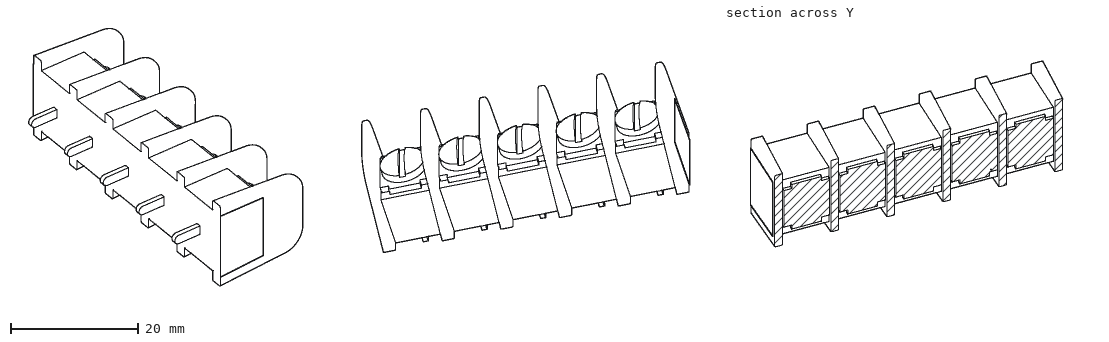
import cadquery as cq
import math

ways = 5
total_length = 49.8
pitch = 9.5
draft_angle = 2
draft_slope = math.tan(math.radians(draft_angle))

body_height = 8.55
body_half_depth = 5.95

barrier_height = 16.7
barrier_width = 2.05
barrier_half_depth = 7.85
barrier_corner_radius = 3.8
barrier_edge_radius = 0.25

plate_width = 7.75
tongue_width = 5.1
tongue_length = 9.45
plate_thickness = 1.05

screw_radius = 3.6
screw_side_height = 1.35
dome_height = 0.7
slot_width = 1.0
slot_depth = 1.05

pin_width = 0.8
pin_depth = 1.65
pin_length = 4.95

plate_top = body_height + plate_thickness
screw_edge = plate_top + screw_side_height
screw_top = screw_edge + dome_height
dome_radius = (screw_radius**2 + dome_height**2) / (2 * dome_height)


def drafted_block(half_x, half_z, height):
    """Block rising along +Y from the base plane, narrowing on all four sides."""
    shrink = height * draft_slope
    return (
        cq.Workplane("XZ")
        .rect(2 * half_x, 2 * half_z)
        .workplane(offset=-height)
        .rect(2 * (half_x - shrink), 2 * (half_z - shrink))
        .loft(ruled=True)
    )


def barrier():
    """Drafted wall with large round upper corners and softened edges."""
    wall = drafted_block(barrier_width / 2, barrier_half_depth, barrier_height)
    wall = wall.faces(">Y").edges("|X").fillet(barrier_corner_radius)
    rim = wall.faces(">X or <X").edges("not <Y")
    return rim.fillet(barrier_edge_radius)


def clamp_plate():
    """Square plate on top of the body, with a narrower tongue reaching past it towards +Z and -Z."""
    seat = cq.Workplane("XZ", origin=(0, body_height, 0))
    square = seat.rect(plate_width, plate_width).extrude(-plate_thickness)
    tongue = seat.rect(tongue_width, tongue_length).extrude(-plate_thickness)
    return square.union(tongue)


def screw():
    """Domed screw head with a slot running along Z."""
    head = (
        cq.Workplane("XY")
        .moveTo(0, plate_top)
        .lineTo(screw_radius, plate_top)
        .lineTo(screw_radius, screw_edge)
        .radiusArc((0, screw_top), -dome_radius)
        .close()
        .revolve(360, (0, 0, 0), (0, 1, 0))
    )
    slot = cq.Workplane("XY").box(slot_width, 2 * slot_depth, 2 * screw_radius)
    return head.cut(slot.translate((0, screw_top, 0)))


def pin():
    """Flat solder pin with a fully rounded tip."""
    half_depth = pin_depth / 2
    return (
        cq.Workplane("YZ")
        .moveTo(0, -half_depth)
        .lineTo(half_depth - pin_length, -half_depth)
        .threePointArc((-pin_length, 0), (half_depth - pin_length, half_depth))
        .lineTo(0, half_depth)
        .close()
        .extrude(pin_width / 2, both=True)
    )


result = drafted_block(total_length / 2, body_half_depth, body_height)

for index in range(ways + 1):
    result = result.union(barrier().translate(((index - ways / 2) * pitch, 0, 0)))

for index in range(ways):
    way_x = (index - (ways - 1) / 2) * pitch
    for piece in (clamp_plate(), screw(), pin()):
        result = result.union(piece.translate((way_x, 0, 0)))